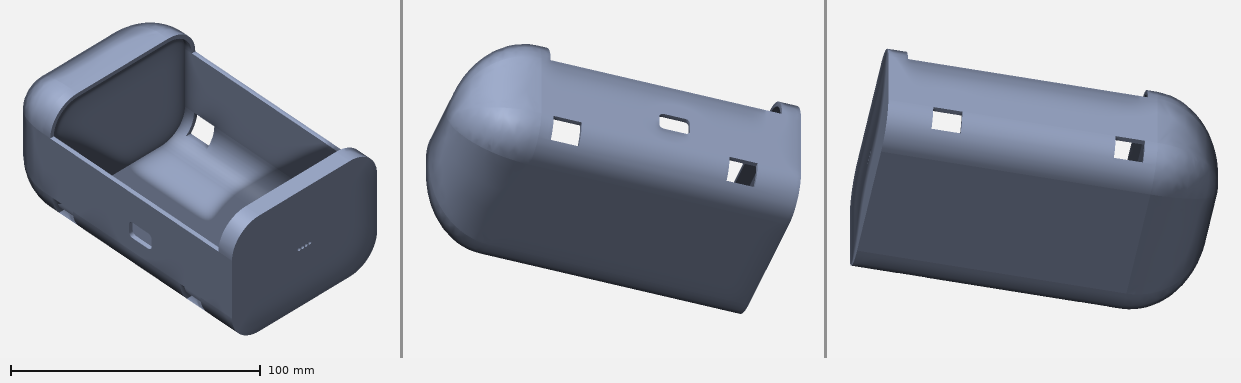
import cadquery as cq
import math

length = 140.0
width = 80.0
height = 60.0
corner_radius = height / 4
dome_radius = height / 2
wall = 2.0

opening_start = 34.0
opening_end = 132.0
rim_height = height - corner_radius

window_length = 11.9
window_starts = (35.3, 109.8)
window_bottom = 5.2

port_length = 13.0
port_height = 8.0
port_radius = 2.0
port_x = 86.5
port_z = 26.0

hole_diameter = 1.7
hole_pitch = 2.0
hole_count = 4
hole_z = height / 2

dome_steps = 12
tip_scale = 0.002


def box_between(x0, x1, y0, y1, z0, z1):
    box = cq.Workplane("XY").box(x1 - x0, y1 - y0, z1 - z0, centered=False)
    return box.translate((x0, y0, z0))


def rounded_bar(x0, x1, inset):
    """Bar along X with a rounded rectangular section, inset from the outer surface."""
    return (
        cq.Workplane("YZ", origin=(x0, 0, height / 2))
        .rect(width - 2 * inset, height - 2 * inset)
        .extrude(x1 - x0)
        .edges("|X")
        .fillet(corner_radius - inset)
    )


def dome_wire(angle):
    """Outer section shrunk towards the short ridge at the dome tip."""
    scale = math.cos(angle)
    ridge_length = width - height
    section = cq.Sketch().rect(ridge_length + height * scale, height * scale)
    section = section.vertices().fillet(corner_radius * scale)
    section_x = dome_radius * (1 - math.sin(angle))
    plane = cq.Plane(origin=(section_x, 0, height / 2), xDir=(0, 1, 0), normal=(1, 0, 0))
    return section.reset().faces().val().outerWire().moved(plane.location)


def make_dome():
    last_angle = math.acos(tip_scale)
    wires = [dome_wire(last_angle * step / dome_steps) for step in range(dome_steps + 1)]
    return cq.Workplane(cq.Solid.makeLoft(wires))


def make_window(start):
    """Cutter passing through both lower edges of the shell."""
    return box_between(start, start + window_length, -width, width, window_bottom, corner_radius)


def make_port():
    """Rounded cutter through the -Y wall only."""
    return (
        cq.Workplane("XZ", origin=(port_x, -width / 2 + 2 * wall, port_z))
        .rect(port_length, port_height)
        .extrude(4 * wall)
        .edges("|Y")
        .fillet(port_radius)
    )


def make_end_holes():
    return (
        cq.Workplane("YZ", origin=(length - 2 * wall, 0, hole_z))
        .rarray(hole_pitch, 1.4, hole_count, 1)
        .circle(hole_diameter / 2)
        .extrude(3 * wall)
    )


shell = rounded_bar(dome_radius, length, 0).cut(rounded_bar(dome_radius, length - wall, wall))
opening = box_between(opening_start, opening_end, -width, width, rim_height, 2 * height)

result = (
    shell.cut(opening)
    .union(make_dome())
    .cut(make_port())
    .cut(make_end_holes())
)
for window_start in window_starts:
    result = result.cut(make_window(window_start))